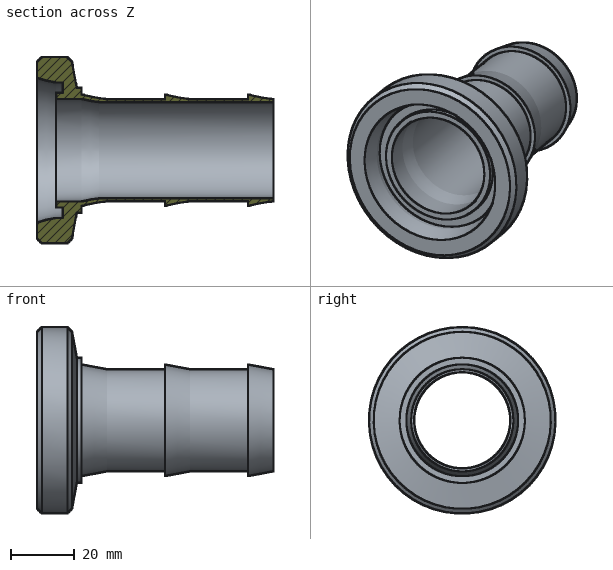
import cadquery as cq

total_length = 74.0

flange_radius = 29.21
flange_chamfer = 1.5
flange_thickness = 11.0
flange_back_x = 12.5
collar_radius = 19.6
collar_end_x = 14.0

tail_radius = 16.0
barb_radius = 17.5
barb_count = 3
barb_length = 8.0
barb_pitch = (total_length - barb_length - collar_end_x) / (barb_count - 1)
barb_starts = [collar_end_x + i * barb_pitch for i in range(barb_count)]

mouth_radius = 22.6
seat_radius = 21.15
seat_depth = 6.0
groove_depth = 8.0
lip_radius = 18.0

inlet_radius = 16.0
bore_radius = 15.0
neck_start_x = 14.0
neck_end_x = 19.5


def revolve_about_x(points):
    """Revolve a closed (x, radius) outline a full turn about the X axis."""
    return cq.Workplane("XZ").polyline(points).close().revolve(360, (0, 0, 0), (1, 0, 0))


def flange():
    shoulder_radius = flange_radius - flange_chamfer
    return revolve_about_x([
        (0, 0),
        (0, shoulder_radius),
        (flange_chamfer, flange_radius),
        (flange_thickness - flange_chamfer, flange_radius),
        (flange_thickness, shoulder_radius),
        (flange_back_x, collar_radius),
        (collar_end_x, collar_radius),
        (collar_end_x, 0),
    ])


def hose_tail():
    outline = [(collar_end_x, 0)]
    for start_x in barb_starts:
        if start_x > collar_end_x:
            outline.append((start_x, tail_radius))
        outline.append((start_x, barb_radius))
        outline.append((start_x + barb_length, tail_radius))
    outline.append((total_length, 0))
    return revolve_about_x(outline)


def inner_cavity():
    return revolve_about_x([
        (0, 0),
        (0, mouth_radius),
        (seat_depth, seat_radius),
        (groove_depth, seat_radius),
        (groove_depth, lip_radius),
        (seat_depth, lip_radius),
        (seat_depth, inlet_radius),
        (neck_start_x, inlet_radius),
        (neck_end_x, bore_radius),
        (total_length, bore_radius),
        (total_length, 0),
    ])


result = flange().union(hose_tail()).cut(inner_cavity())